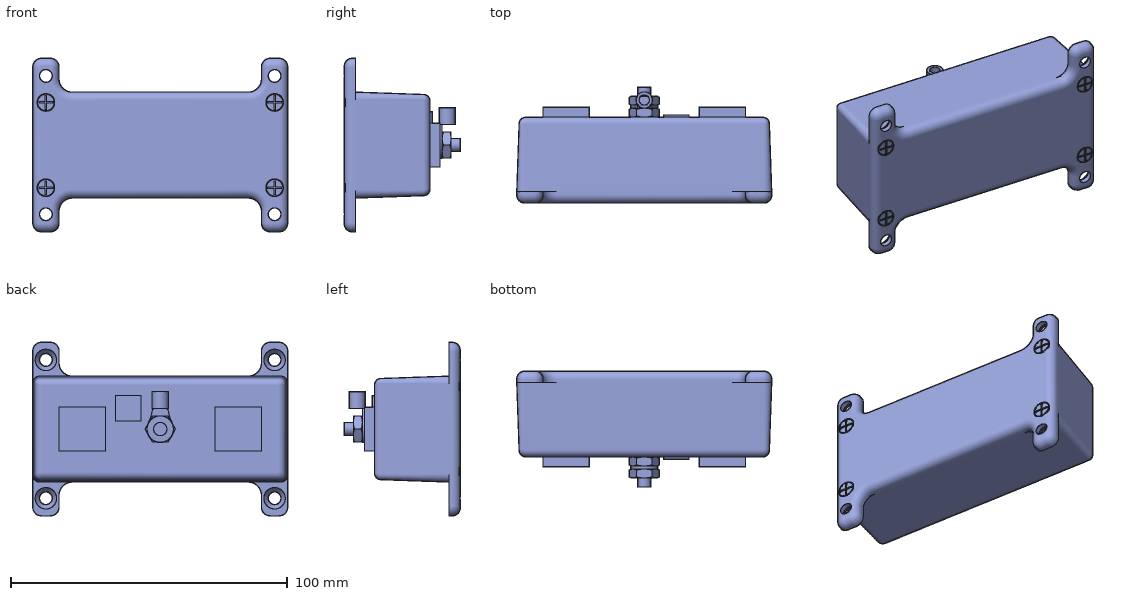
import cadquery as cq
import math


LENGTH = 92.2
ARM_SPAN = 62.8
ARM_WIDTH = 9.6
WAIST_HEIGHT = 38.4
FLANGE_THICKNESS = 4.15
FLANGE_FILLET = 2.95
ARM_CORNER_RADIUS = 3.2
WAIST_CORNER_RADIUS = 4.7
MOUNT_HOLE_DIAMETER = 4.5
MOUNT_HOLE_Z = 25.0
COUNTERSINK_START_Y = 1.9
COUNTERSINK_DIAMETER = 7.7
ARM_X = (LENGTH - ARM_WIDTH) / 2

SCREW_Z = 15.4
SCREW_HEAD_DIAMETER = 6.0
SCREW_GROOVE_WIDTH = 0.2
SCREW_GROOVE_DEPTH = 0.55
CROSS_LENGTH = 5.0
CROSS_WIDTH = 0.55
CROSS_DEPTH = 0.55

BOX_BACK_Y = 31.1
BOX_DRAFT_ANGLE = 2.0
BOX_CORNER_RADIUS = 2.7
BOX_BACK_FILLET = 2.5

PAD_WIDTH = 16.8
PAD_HEIGHT = 15.9
PAD_THICKNESS = 3.6
PAD_X = 28.2
LABEL_SIDE = 9.2
LABEL_THICKNESS = 0.8
LABEL_X = 11.6
LABEL_TOP_Z = 12.1

STUD_DIAMETER = 4.8
STUD_END_Y = 41.95
NUT_ACROSS_FLATS = 9.5
NUT_THICKNESS = 3.2
NUT_CHAMFER_ANGLE = 30.0
LUG_THICKNESS = 1.1
LUG_RING_RADIUS = 4.9
LUG_NECK_START_ANGLE = 28.0
LUG_NECK_HALF_WIDTH = 2.95
LUG_NECK_Z = 6.5
LUG_TIP_HALF_WIDTH = 2.4
BARREL_START_Z = 7.4
BARREL_LENGTH = 6.2
BARREL_DIAMETER = 5.9
BARREL_BORE_DIAMETER = BARREL_DIAMETER - 2 * LUG_THICKNESS

INNER_NUT_Y = BOX_BACK_Y
LUG_Y = INNER_NUT_Y + NUT_THICKNESS
OUTER_NUT_Y = LUG_Y + LUG_THICKNESS


def plane_at(y):
    """Workplane whose local x and y are the part's X and Z, facing -Y."""
    return cq.Workplane("XZ", origin=(0, y, 0))


def mirrored_points(x, z):
    """The four points (+-x, +-z)."""
    return [(sx * x, sz * z) for sx in (1, -1) for sz in (1, -1)]


def make_flange():
    arm_inner_x = LENGTH / 2 - ARM_WIDTH
    waist_z = WAIST_HEIGHT / 2
    flange = (
        plane_at(0)
        .rect(LENGTH, WAIST_HEIGHT)
        .extrude(-FLANGE_THICKNESS)
    )
    for side in (1, -1):
        arms = plane_at(0).center(side * ARM_X, 0).rect(ARM_WIDTH, ARM_SPAN).extrude(-FLANGE_THICKNESS)
        flange = flange.union(arms)
    waist_corners = cq.selectors.BoxSelector(
        (-arm_inner_x - 0.9, -0.9, -waist_z - 0.9),
        (arm_inner_x + 0.9, FLANGE_THICKNESS + 0.9, waist_z + 0.9),
    )
    arm_corners = cq.StringSyntaxSelector("|Y") - waist_corners
    flange = flange.edges(arm_corners).fillet(ARM_CORNER_RADIUS)
    flange = flange.edges(cq.StringSyntaxSelector("|Y") & waist_corners).fillet(WAIST_CORNER_RADIUS)
    return flange.faces("<Y").edges().fillet(FLANGE_FILLET)


def make_box():
    outline = (
        cq.Sketch()
        .rect(LENGTH, WAIST_HEIGHT)
        .vertices()
        .fillet(BOX_CORNER_RADIUS)
    )
    box = (
        plane_at(FLANGE_THICKNESS)
        .placeSketch(outline)
        .extrude(FLANGE_THICKNESS - BOX_BACK_Y, taper=BOX_DRAFT_ANGLE)
    )
    return box.faces(">Y").edges().fillet(BOX_BACK_FILLET)


def make_mount_holes():
    """Cutters for the through holes, countersunk from the back of the flange."""
    hole_radius = MOUNT_HOLE_DIAMETER / 2
    hole = (
        cq.Workplane("XY")
        .polyline([
            (0, 0),
            (hole_radius, 0),
            (hole_radius, COUNTERSINK_START_Y),
            (COUNTERSINK_DIAMETER / 2, FLANGE_THICKNESS),
            (0, FLANGE_THICKNESS),
        ])
        .close()
        .revolve(360, (0, 0, 0), (0, 1, 0))
    )
    centers = mirrored_points(ARM_X, MOUNT_HOLE_Z)
    return cq.Workplane().newObject([hole.val().translate((x, 0, z)) for x, z in centers]).combine()


def make_screw_marks():
    centers = plane_at(0).pushPoints(mirrored_points(ARM_X, SCREW_Z))
    head_radius = SCREW_HEAD_DIAMETER / 2
    grooves = (
        centers
        .circle(head_radius + SCREW_GROOVE_WIDTH)
        .circle(head_radius)
        .extrude(-SCREW_GROOVE_DEPTH)
    )
    level_slots = centers.rect(CROSS_LENGTH, CROSS_WIDTH).extrude(-CROSS_DEPTH)
    upright_slots = centers.rect(CROSS_WIDTH, CROSS_LENGTH).extrude(-CROSS_DEPTH)
    return grooves.union(level_slots).union(upright_slots)


def make_enclosure():
    return make_flange().union(make_box()).cut(make_mount_holes()).cut(make_screw_marks())


def make_pad(x):
    return plane_at(BOX_BACK_Y).center(x, 0).rect(PAD_WIDTH, PAD_HEIGHT).extrude(-PAD_THICKNESS)


def make_label():
    center_z = LABEL_TOP_Z - LABEL_SIDE / 2
    return (
        plane_at(BOX_BACK_Y)
        .center(LABEL_X, center_z)
        .rect(LABEL_SIDE, LABEL_SIDE)
        .extrude(-LABEL_THICKNESS)
    )


def make_stud():
    return plane_at(BOX_BACK_Y).circle(STUD_DIAMETER / 2).extrude(BOX_BACK_Y - STUD_END_Y)


def make_nut(y):
    """Hexagon nut with flats at +-Z, its corners chamfered at both ends."""
    flat_radius = NUT_ACROSS_FLATS / 2
    corner_radius = flat_radius / math.cos(math.pi / 6)
    chamfer = (corner_radius - flat_radius) * math.tan(math.radians(NUT_CHAMFER_ANGLE))
    prism = (
        plane_at(y)
        .polygon(6, 2 * corner_radius)
        .circle(STUD_DIAMETER / 2)
        .extrude(-NUT_THICKNESS)
    )
    envelope = (
        cq.Workplane("XY")
        .polyline([
            (0, y),
            (flat_radius, y),
            (corner_radius, y + chamfer),
            (corner_radius, y + NUT_THICKNESS - chamfer),
            (flat_radius, y + NUT_THICKNESS),
            (0, y + NUT_THICKNESS),
        ])
        .close()
        .revolve(360, (0, 0, 0), (0, 1, 0))
    )
    return prism.intersect(envelope)


def make_lug():
    """Flat ring on the stud, with a waisted neck up to a wire barrel along Z."""
    neck_angle = math.radians(LUG_NECK_START_ANGLE)
    neck_start = (LUG_RING_RADIUS * math.cos(neck_angle), LUG_RING_RADIUS * math.sin(neck_angle))
    half_tongue = (
        plane_at(LUG_Y)
        .moveTo(0, -LUG_RING_RADIUS)
        .threePointArc((LUG_RING_RADIUS, 0), neck_start)
        .tangentArcPoint((LUG_NECK_HALF_WIDTH, LUG_NECK_Z), relative=False)
        .tangentArcPoint((LUG_TIP_HALF_WIDTH, BARREL_START_Z), relative=False)
        .lineTo(0, BARREL_START_Z)
        .close()
        .extrude(-LUG_THICKNESS)
    )
    tongue = half_tongue.union(half_tongue.mirror("YZ"))
    stud_hole = plane_at(LUG_Y).circle(STUD_DIAMETER / 2).extrude(-LUG_THICKNESS)
    barrel = (
        cq.Workplane("XY", origin=(0, LUG_Y + BARREL_DIAMETER / 2, BARREL_START_Z))
        .circle(BARREL_DIAMETER / 2)
        .circle(BARREL_BORE_DIAMETER / 2)
        .extrude(BARREL_LENGTH)
    )
    return tongue.cut(stud_hole).union(barrel)


enclosure = make_enclosure()
pads = [make_pad(x) for x in (-PAD_X, PAD_X)]
label = make_label()
stud = make_stud()
nuts = [make_nut(y) for y in (INNER_NUT_Y, OUTER_NUT_Y)]
lug = make_lug()

result = cq.Compound.makeCompound([
    enclosure.val(),
    *[pad.val() for pad in pads],
    label.val(),
    stud.val(),
    *[nut.val() for nut in nuts],
    lug.val(),
])